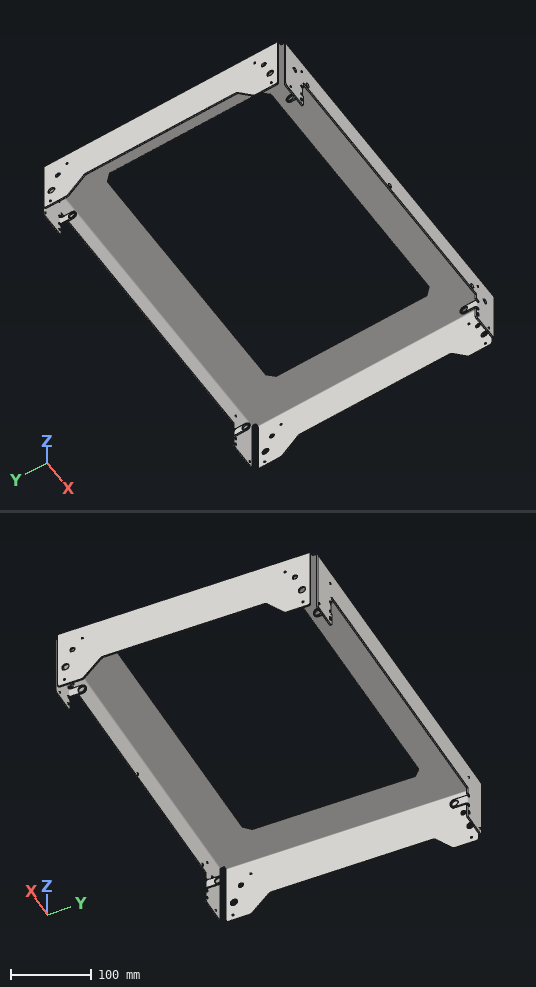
import cadquery as cq
import math

length = 485.0
width = 364.0
height = 90.0
sheet = 2.0
bend_radius = 3.5
corner_relief = 7.5

window_length = 375.5
window_width = 244.0
window_chamfer = 9.0

long_leg_inset = 47.5
long_skirt_height = 48.0
foot_radius = 3.0

short_foot_inset = 42.0
short_skirt_height = 26.0
short_slope_radius = 5.0

tab_height = 12.5
tab_center_z = 29.0
tab_hole_inset = 18.5
tab_hole_diameter = 9.5
relief_width = 3.5
relief_depth = 5.5

pin_diameter = 2.5
mount_diameter = 7.0
mount_inset = 28.0
mount_z = 54.5
upper_pin_z = 68.5
lower_pin_z = 8.2
long_upper_pin_inset = 43.5
front_lower_pin_inset = 19.0
back_lower_pin_inset = 12.0
short_upper_pin_inset = 41.5
short_lower_pin_inset = 17.0
leg_hole_inset = 43.5
leg_hole_z = 9.0
leg_hole_diameter = 2.5
leg_hole_head_diameter = 5.0
screw_diameter = 3.0
screw_head_diameter = 6.5
screw_inset = 56.7

half_length = length / 2
half_width = width / 2


def block(size_x, size_y, z_low, z_high):
    """Box centred in X and Y between two heights."""
    return cq.Workplane("XY", origin=(0, 0, z_low)).rect(size_x, size_y).extrude(z_high - z_low)


def channel(size_x, size_y, wall_x, wall_y, bend_axis):
    """Downward-open U of sheet, folded along bend_axis; wall_x and wall_y thin the inside."""
    outer = block(size_x, size_y, 0, height).faces(">Z").edges(f"|{bend_axis}").fillet(bend_radius)
    inner = block(size_x - 2 * wall_x, size_y - 2 * wall_y, 0, height - sheet)
    inner = inner.faces(">Z").edges(f"|{bend_axis}").fillet(bend_radius - sheet)
    return outer.cut(inner)


def holes_along_y(points, diameter, y_start, depth):
    """Cylinders running toward +Y at (x, z) points."""
    plane = cq.Workplane("XZ", origin=(0, y_start, 0))
    return plane.pushPoints(points).circle(diameter / 2).extrude(-depth)


def holes_along_x(points, diameter):
    """Cylinders through both short flanges at (y, z) points."""
    plane = cq.Workplane("YZ", origin=(-half_length, 0, 0))
    return plane.pushPoints(points).circle(diameter / 2).extrude(length)


def mirrored(offset, z):
    return [(-offset, z), (offset, z)]


def long_pair():
    """Top plate with the front and back flanges, cut out between their legs."""
    body = channel(length - 2 * corner_relief, width, 0, sheet, "X")
    body = body.edges("|Y and <Z").fillet(foot_radius)
    leg_gap = length - 2 * long_leg_inset
    opening = block(leg_gap, width, 0, long_skirt_height)
    body = body.cut(opening)
    leg_corners = cq.selectors.BoxSelector(
        (-leg_gap / 2 - sheet, -width, -sheet), (leg_gap / 2 + sheet, width, sheet)
    )
    return body.edges("|Y").edges(leg_corners).fillet(foot_radius)


def short_pair():
    """Top plate with the left and right flanges, cut to sloping feet."""
    body = channel(length, width - 2 * corner_relief, sheet, 0, "Y")
    foot_y = half_width - short_foot_inset
    skirt_y = foot_y - short_skirt_height
    opening = (
        cq.Workplane("YZ", origin=(-half_length, 0, 0))
        .moveTo(-foot_y, 0)
        .lineTo(-skirt_y, short_skirt_height)
        .lineTo(skirt_y, short_skirt_height)
        .lineTo(foot_y, 0)
        .close()
        .extrude(length)
    )
    body = body.edges("|X and <Z").fillet(foot_radius).cut(opening)
    slope_zone = cq.selectors.BoxSelector(
        (-length, -foot_y - sheet, -sheet), (length, foot_y + sheet, short_skirt_height + sheet)
    )
    return body.edges("|X").edges(slope_zone).fillet(short_slope_radius)


def tab():
    """Front-left tab: quarter bend off the leg edge, then a round-ended lug with a hole."""
    face_x = -half_length + long_leg_inset
    root_x = face_x - relief_depth
    bend_x = face_x - bend_radius
    bend_y = -half_width + bend_radius
    lug_y = -half_width + tab_hole_inset
    inner_radius = bend_radius - sheet
    diagonal = math.sqrt(0.5)
    strip = (
        cq.Workplane("XY", origin=(0, 0, tab_center_z - tab_height / 2))
        .moveTo(root_x, -half_width)
        .lineTo(bend_x, -half_width)
        .threePointArc((bend_x + bend_radius * diagonal, bend_y - bend_radius * diagonal), (face_x, bend_y))
        .lineTo(face_x, lug_y)
        .lineTo(face_x - sheet, lug_y)
        .lineTo(face_x - sheet, bend_y)
        .threePointArc(
            (bend_x + inner_radius * diagonal, bend_y - inner_radius * diagonal),
            (bend_x, -half_width + sheet),
        )
        .lineTo(root_x, -half_width + sheet)
        .close()
        .extrude(tab_height)
    )
    lug_plane = cq.Workplane("YZ", origin=(face_x - sheet, 0, 0)).center(lug_y, tab_center_z)
    lug_end = lug_plane.circle(tab_height / 2).extrude(sheet)
    lug_hole = lug_plane.circle(tab_hole_diameter / 2).extrude(sheet)
    return strip.union(lug_end).cut(lug_hole)


def add_tabs(body):
    """Swap part of each leg edge for a tab, with round-ended relief slits above and below it."""
    root_span = length - 2 * long_leg_inset + 2 * relief_depth
    body = body.cut(block(root_span, width, tab_center_z - tab_height / 2, tab_center_z + tab_height / 2))
    slit_offset = (tab_height + relief_width) / 2
    slits = (
        cq.Workplane("XZ", origin=(0, -half_width, 0))
        .pushPoints([(0, tab_center_z - slit_offset), (0, tab_center_z + slit_offset)])
        .slot2D(root_span, relief_width)
        .extrude(-width)
    )
    left_front = tab()
    front = left_front.union(left_front.mirror("YZ"))
    return body.cut(slits).union(front).union(front.mirror("XZ"))


def countersink(x, z, head_diameter, diameter):
    """Cone through the front flange, wide at its outer face."""
    cone = cq.Workplane("XZ", origin=(x, -half_width, z)).circle(head_diameter / 2)
    return cone.workplane(offset=-sheet).circle(diameter / 2).loft()


def drill_long_flanges(body):
    upper_pins = mirrored(half_length - long_upper_pin_inset, upper_pin_z)
    body = body.cut(holes_along_y(upper_pins, pin_diameter, -half_width, width))
    front_pins = mirrored(half_length - front_lower_pin_inset, lower_pin_z)
    body = body.cut(holes_along_y(front_pins, pin_diameter, -half_width, sheet))
    back_pins = mirrored(half_length - back_lower_pin_inset, lower_pin_z)
    body = body.cut(holes_along_y(back_pins, pin_diameter, half_width - sheet, sheet))

    for x, z in mirrored(half_length - leg_hole_inset, leg_hole_z):
        front_hole = countersink(x, z, leg_hole_head_diameter, leg_hole_diameter)
        body = body.cut(front_hole).cut(front_hole.mirror("XZ"))

    mounts = mirrored(half_length - mount_inset, mount_z)
    body = body.cut(holes_along_y(mounts, mount_diameter, -half_width, sheet))
    for x, z in mirrored(half_length - screw_inset, mount_z) + [(0, mount_z)]:
        body = body.cut(countersink(x, z, screw_head_diameter, screw_diameter))
    return body


def drill_short_flanges(body):
    pins = mirrored(half_width - short_upper_pin_inset, upper_pin_z)
    pins += mirrored(half_width - short_lower_pin_inset, lower_pin_z)
    body = body.cut(holes_along_x(pins, pin_diameter))
    body = body.cut(holes_along_x(mirrored(half_width - mount_inset, mount_z), mount_diameter))
    access = mirrored(half_width - tab_hole_inset, tab_center_z)
    return body.cut(holes_along_x(access, tab_hole_diameter))


window = block(window_length, window_width, height - sheet, height).edges("|Z").chamfer(window_chamfer)
frame = long_pair().union(short_pair()).cut(window)
frame = add_tabs(frame)
frame = drill_long_flanges(frame)
result = drill_short_flanges(frame)